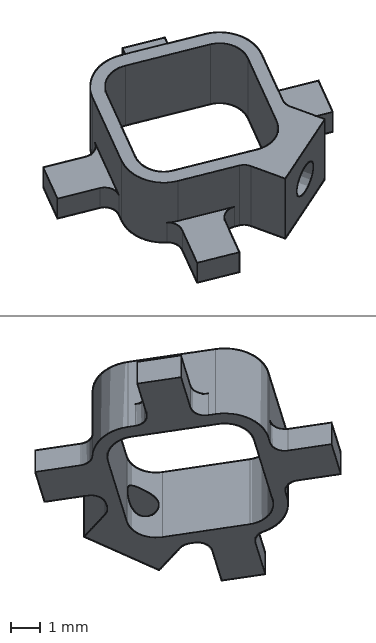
import cadquery as cq
import math

ring_side = 6.0
ring_height = 3.0
ring_corner_radius = 1.5
wall = 0.5
bore_side = ring_side - 2 * wall
bore_corner_radius = ring_corner_radius - wall
ring_half = ring_side / 2

tab_width = 1.5
tab_length = 2.0
tab_height = 1.0
tab_offset = tab_width / 2
tab_layout = [
    (0, -tab_offset),
    (90, tab_offset),
    (180, 0),
    (270, 0),
]

boss_angle = 45
boss_width = 3.0
boss_reach = math.hypot(ring_half, ring_half)
hole_diameter = 1.25
hole_height = ring_height / 2

root_radius = 0.5


def rounded_square(side, corner_radius, height):
    """Square block on the XY plane with rounded upright corners."""
    return (
        cq.Workplane("XY")
        .rect(side, side)
        .extrude(height)
        .edges("|Z")
        .fillet(corner_radius)
    )


def radial_bar(angle, reach, width, shift, height):
    """Bar running outwards from the Z axis, shifted sideways."""
    return (
        cq.Workplane("XY")
        .center(reach / 2, shift)
        .rect(reach, width)
        .extrude(height)
        .rotate((0, 0, 0), (0, 0, 1), angle)
    )


def fillet_upright_edge(body, x, y, height):
    """Round the vertical edge that stands at (x, y)."""
    nearest = cq.NearestToPointSelector((x, y, height / 2))
    return body.edges("|Z").edges(nearest).fillet(root_radius)


def turned(x, y, angle):
    """Point (x, y) turned about the Z axis by an angle in degrees."""
    turn = math.radians(angle)
    turned_x = x * math.cos(turn) - y * math.sin(turn)
    turned_y = x * math.sin(turn) + y * math.cos(turn)
    return turned_x, turned_y


def make_foot():
    """Bottom slab with four tabs and their root fillets."""
    foot = rounded_square(ring_side, ring_corner_radius, tab_height)
    for angle, shift in tab_layout:
        tab = radial_bar(angle, ring_half + tab_length, tab_width, shift, tab_height)
        foot = foot.union(tab)
    for angle, shift in tab_layout:
        for side in (-1, 1):
            root_x, root_y = turned(ring_half, shift + side * tab_width / 2, angle)
            foot = fillet_upright_edge(foot, root_x, root_y, tab_height)
    return foot


def make_ring_with_boss():
    """Full-height ring body with the corner boss and its root fillets."""
    body = rounded_square(ring_side, ring_corner_radius, ring_height)
    body = body.union(radial_bar(boss_angle, boss_reach, boss_width, 0, ring_height))
    root_distance = ring_half - boss_width / 2 / math.sin(math.radians(boss_angle))
    body = fillet_upright_edge(body, root_distance, ring_half, ring_height)
    body = fillet_upright_edge(body, ring_half, root_distance, ring_height)
    return body


def make_cross_hole():
    """Cylinder running from the Z axis out through the boss face."""
    return (
        cq.Workplane("YZ")
        .center(0, hole_height)
        .circle(hole_diameter / 2)
        .extrude(boss_reach)
        .rotate((0, 0, 0), (0, 0, 1), boss_angle)
    )


bore = rounded_square(bore_side, bore_corner_radius, ring_height)
result = make_ring_with_boss().union(make_foot()).cut(bore).cut(make_cross_hole())